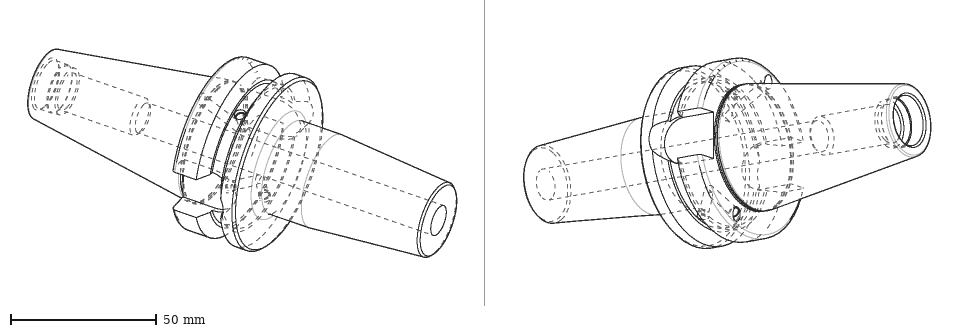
import cadquery as cq
import math

total_length = 155.4
gauge_line = 65.5
taper_end = 65.1
neck_start = 65.9
neck_end = 66.7
flange_start = 67.1
flange_end = 92.5
shank_cone_start = 110.8

taper_ratio = 7 / 24
gauge_radius = 44.5 / 2
neck_radius = 44.0 / 2
end_round = 0.6

flange_radius = 63.0 / 2
flange_round = 1.2
rim_chamfer = 1.0
groove_center = 81.9
groove_floor_width = 4.7
groove_floor_radius = 25.5
groove_wall_radius = 26.7
groove_flank_angle = 30

shank_radius = 34.0 / 2
shank_fillet = 2.6
nose_radius = 27.2 / 2
nose_chamfer = 0.8

mouth_radius = 19.0 / 2
pilot_radius = 17.5 / 2
step_radius = 17.0 / 2
inner_radius = 13.5 / 2
through_radius = 10.9 / 2
pilot_depth = 5.6
step_depth = 8.7
inner_depth = 37.3

slot_width = 16.5
slot_floor = 22.5
slot_end = 88.1

channel_angle = 20
channel_tilt = 40
channel_radius = 3.3 / 2
plug_radius = 4.0 / 2
plug_depth = 1.7
channel_mouth_radius = 26.9


def taper_radius(x):
    """Radius of the steep taper at axial position x."""
    return gauge_radius - (gauge_line - x) * taper_ratio / 2


def make_body():
    """Turned outside shape, revolved about X."""
    groove_left = groove_center - groove_floor_width / 2
    groove_right = groove_center + groove_floor_width / 2
    flank_run = (flange_radius - groove_wall_radius) * math.tan(math.radians(groove_flank_angle))
    fillet_center_x = flange_end + shank_fillet
    fillet_center_r = shank_radius + shank_fillet
    fillet_offset = shank_fillet * math.sqrt(0.5)
    end_radius = taper_radius(end_round)
    end_mid = end_round * (1 - math.sqrt(0.5))
    flange_mid = flange_round * (1 - math.sqrt(0.5))
    profile = (
        cq.Workplane("XY")
        .moveTo(0, 0)
        .lineTo(0, end_radius - end_round)
        .threePointArc((end_mid, end_radius - end_mid), (end_round, end_radius))
        .lineTo(taper_end, taper_radius(taper_end))
        .lineTo(neck_start, taper_radius(taper_end))
        .lineTo(neck_start, neck_radius)
        .lineTo(neck_end, neck_radius)
        .lineTo(flange_start, taper_radius(taper_end))
        .lineTo(flange_start, flange_radius - flange_round)
        .threePointArc(
            (flange_start + flange_mid, flange_radius - flange_mid),
            (flange_start + flange_round, flange_radius),
        )
        .lineTo(groove_left - flank_run, flange_radius)
        .lineTo(groove_left, groove_wall_radius)
        .lineTo(groove_left, groove_floor_radius)
        .lineTo(groove_right, groove_floor_radius)
        .lineTo(groove_right, groove_wall_radius)
        .lineTo(groove_right + flank_run, flange_radius)
        .lineTo(flange_end - rim_chamfer, flange_radius)
        .lineTo(flange_end, flange_radius - rim_chamfer)
        .lineTo(flange_end, fillet_center_r)
        .threePointArc(
            (fillet_center_x - fillet_offset, fillet_center_r - fillet_offset),
            (fillet_center_x, shank_radius),
        )
        .lineTo(shank_cone_start, shank_radius)
        .lineTo(total_length - nose_chamfer, nose_radius)
        .lineTo(total_length, nose_radius - nose_chamfer)
        .lineTo(total_length, 0)
        .close()
    )
    return profile.revolve(360, (0, 0, 0), (1, 0, 0))


def make_bore():
    """Stepped bore running through the whole part, with conical transitions."""
    mouth_chamfer = mouth_radius - pilot_radius
    step_start = pilot_depth + pilot_radius - step_radius
    inner_cone = inner_radius - through_radius
    profile = (
        cq.Workplane("XY")
        .moveTo(0, 0)
        .lineTo(0, mouth_radius)
        .lineTo(mouth_chamfer, pilot_radius)
        .lineTo(pilot_depth, pilot_radius)
        .lineTo(step_start, step_radius)
        .lineTo(step_depth, step_radius)
        .lineTo(step_depth, inner_radius)
        .lineTo(inner_depth, inner_radius)
        .lineTo(inner_depth + inner_cone, through_radius)
        .lineTo(total_length, through_radius)
        .lineTo(total_length, 0)
        .close()
    )
    return profile.revolve(360, (0, 0, 0), (1, 0, 0))


def make_drive_slot(side):
    """Round-ended slot open toward the taper; side is +1 or -1 along Y."""
    arc_center = slot_end - slot_width / 2
    depth = flange_radius - slot_floor
    outline = (
        cq.Workplane("XZ", origin=(0, side * slot_floor, 0))
        .moveTo(flange_start, -slot_width / 2)
        .lineTo(arc_center, -slot_width / 2)
        .threePointArc((slot_end, 0), (arc_center, slot_width / 2))
        .lineTo(flange_start, slot_width / 2)
        .close()
    )
    return outline.extrude(-side * depth)


def make_coolant_channel(turn):
    """Inclined channel from the flange face, met by a radial hole from the groove."""
    tilt = math.radians(channel_tilt)
    mouth = cq.Vector(flange_start, 0, channel_mouth_radius)
    inward = cq.Vector(math.cos(tilt), 0, -math.sin(tilt))
    overrun = plug_radius * math.tan(tilt)
    start = mouth - inward * overrun
    length = (groove_center - flange_start) / math.cos(tilt)
    junction = mouth + inward * length
    plug = cq.Solid.makeCylinder(plug_radius, plug_depth + overrun, start, inward)
    channel = cq.Solid.makeCylinder(channel_radius, length, mouth, inward)

    down = cq.Vector(0, 0, -1)
    groove_mouth = cq.Vector(groove_center, 0, groove_floor_radius)
    radial = cq.Solid.makeCylinder(
        channel_radius, groove_floor_radius - junction.z, groove_mouth, down
    )
    counterbore = cq.Solid.makeCylinder(plug_radius, plug_depth, groove_mouth, down)
    cutter = cq.Workplane(plug.fuse(channel, radial, counterbore))
    return cutter.rotate((0, 0, 0), (1, 0, 0), turn)


result = make_body().cut(make_bore())
for slot_side in (1, -1):
    result = result.cut(make_drive_slot(slot_side))
for channel_turn in (channel_angle, channel_angle + 180):
    result = result.cut(make_coolant_channel(channel_turn))